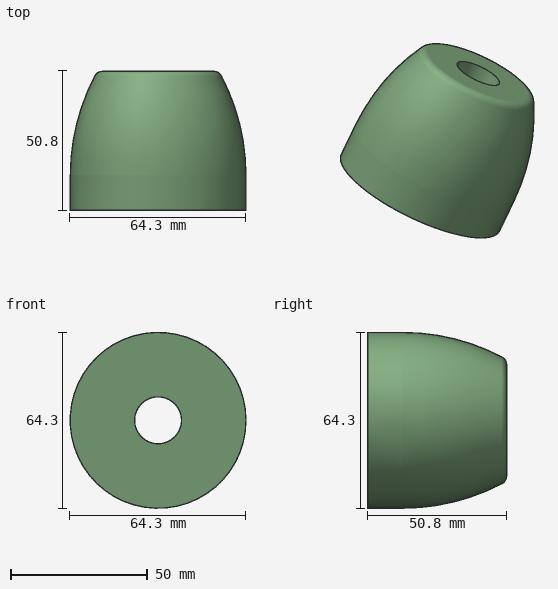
import cadquery as cq

base_diameter = 64.25
length = 50.8
base_length = 12.8
hole_diameter = 17.0
crown_arc_radius = 77.75
nose_fillet = 3.15

base_radius = base_diameter / 2
hole_radius = hole_diameter / 2
crown_length = length - base_length


def crown_radius(distance):
    """Outer radius at a distance beyond the cylindrical base."""
    drop = crown_arc_radius - (crown_arc_radius**2 - distance**2) ** 0.5
    return base_radius - drop


profile = (
    cq.Workplane("XY")
    .moveTo(hole_radius, 0)
    .lineTo(base_radius, 0)
    .lineTo(base_radius, base_length)
    .threePointArc(
        (crown_radius(crown_length / 2), base_length + crown_length / 2),
        (crown_radius(crown_length), length),
    )
    .lineTo(hole_radius, length)
    .close()
)
body = profile.revolve(360, (0, 0, 0), (0, 1, 0))

nose_edge = body.faces(">Y").edges(cq.selectors.RadiusNthSelector(-1))
result = nose_edge.fillet(nose_fillet)